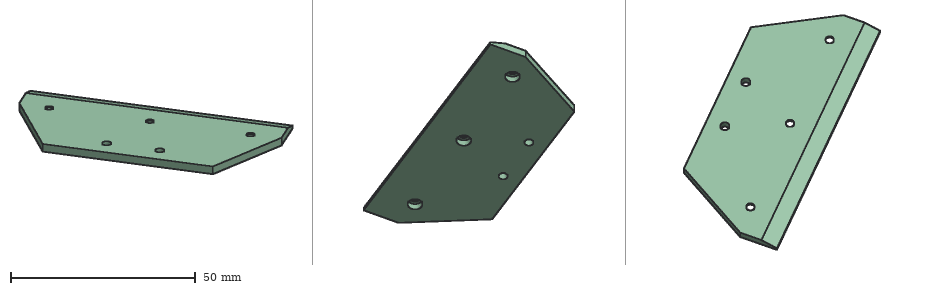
import cadquery as cq

length = 74.0
width = 32.5
thickness = 2.4

straight_end = 10.7
short_edge = 48.0

bevel_width = 4.5
edge_thickness = 0.9

upper_hole_diameter = 2.2
upper_hole_spacing = 28.4
upper_hole_inset = 11.25
counterbore_diameter = 4.0
lip_thickness = 0.4

lower_hole_diameter = 2.45
lower_hole_spacing = 15.0
lower_hole_inset = 5.25

long_edge_y = width / 2
short_edge_y = -width / 2


def make_plate():
    """Flat plate with two tapered corners."""
    shoulder_y = long_edge_y - straight_end
    outline = [
        (-length / 2, long_edge_y),
        (length / 2, long_edge_y),
        (length / 2, shoulder_y),
        (short_edge / 2, short_edge_y),
        (-short_edge / 2, short_edge_y),
        (-length / 2, shoulder_y),
    ]
    return cq.Workplane("XY").polyline(outline).close().extrude(thickness)


def make_bevel_cutter():
    """Triangular prism removed from the top of the long edge."""
    profile = [
        (long_edge_y - bevel_width, thickness),
        (long_edge_y, thickness),
        (long_edge_y, edge_thickness),
    ]
    return cq.Workplane("YZ").polyline(profile).close().extrude(length / 2, both=True)


def make_hole_row(count, spacing, diameter, row_y, depth=thickness):
    """Row of cylinders rising from the underside, centred in X."""
    return (
        cq.Workplane("XY")
        .center(0, row_y)
        .rarray(spacing, 0.75, count, 1)
        .circle(diameter / 2)
        .extrude(depth)
    )


upper_row_y = long_edge_y - upper_hole_inset
lower_row_y = short_edge_y + lower_hole_inset
counterbore_depth = thickness - lip_thickness

upper_holes = make_hole_row(3, upper_hole_spacing, upper_hole_diameter, upper_row_y)
counterbores = make_hole_row(3, upper_hole_spacing, counterbore_diameter, upper_row_y, counterbore_depth)
lower_holes = make_hole_row(2, lower_hole_spacing, lower_hole_diameter, lower_row_y)

result = make_plate().cut(make_bevel_cutter())
result = result.cut(upper_holes).cut(counterbores).cut(lower_holes)